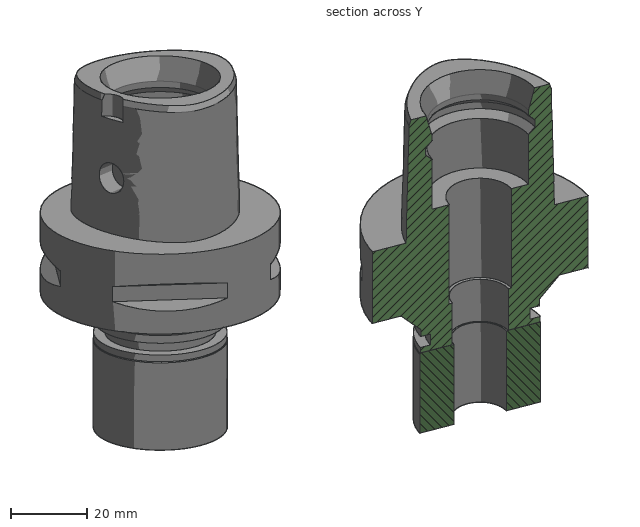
import cadquery as cq
import math

TOTAL_HEIGHT = 98.0
FLANGE_TOP = 60.2
FLANGE_BOTTOM = 37.8
NECK_RING_TOP = 32.0
NECK_RING_BOTTOM = 29.9
COLLAR_TOP = 26.7
NUT_TOP = 24.8

FLANGE_RADIUS = 31.51
NECK_RING_RADIUS = 17.3
CONE_TOP_RADIUS = NECK_RING_RADIUS + (FLANGE_BOTTOM - NECK_RING_TOP)
NECK_RADIUS = 14.6
COLLAR_RADIUS = 17.5
NUT_RADIUS = 17.6
NUT_EDGE_WIDTH = 0.1
NUT_EDGE_HEIGHT = 0.3

SHANK_BASE_DIAMETER = 44.3
SHANK_TAPER = 1 / 20
SHANK_LOBE = 1.5
SHANK_CURVE_POINTS = 48
RIM_CHAMFER_HEIGHT = 1.7
RIM_CHAMFER_WIDTH = 0.6

MOUTH_RADIUS = 15.8
BORE_RADIUS = 14.0
MOUTH_CONE_DEPTH = 6.5
UNDERCUT_TOP_DEPTH = 8.2
UNDERCUT_BOTTOM_DEPTH = 14.0
UNDERCUT_WIDTH = 1.9
BORE_DEPTH = 29.4

COUNTERBORE_RADIUS = 9.0
COUNTERBORE_BOTTOM = FLANGE_BOTTOM
PASSAGE_RADIUS = 8.1
NUT_BORE_RADIUS = 7.6

NOTCH_RADIUS = 4.4
NOTCH_INNER_Y = -17.7
NOTCH_DEPTH = 6.2
SIDE_HOLE_RADIUS = 4.165
SIDE_HOLE_Z = 75.6
SIDE_HOLE_FLOOR_Y = -14.7

GROOVE_COUNT = 4
GROOVE_Z = 48.0
GROOVE_FLOOR_HEIGHT = 4.2
GROOVE_MOUTH_HEIGHT = 7.6
GROOVE_FLOOR_DISTANCE = 27.6


def shank_section(diameter, z):
    """Three-lobed closed curve whose width is the same in every direction."""
    def point(turn):
        t = 2 * math.pi * turn
        x = diameter / 2 * math.cos(t) - SHANK_LOBE * (2 * math.cos(2 * t) - math.cos(4 * t))
        y = diameter / 2 * math.sin(t) + SHANK_LOBE * (2 * math.sin(2 * t) + math.sin(4 * t))
        return cq.Vector(y, -x, z)

    points = [point(i / SHANK_CURVE_POINTS) for i in range(SHANK_CURVE_POINTS)]
    return cq.Wire.assembleEdges([cq.Edge.makeSpline(points, periodic=True)])


def make_shank():
    chamfer_z = TOTAL_HEIGHT - RIM_CHAMFER_HEIGHT
    chamfer_diameter = SHANK_BASE_DIAMETER - SHANK_TAPER * (chamfer_z - FLANGE_TOP)
    rim_diameter = chamfer_diameter - 2 * RIM_CHAMFER_WIDTH
    base = shank_section(SHANK_BASE_DIAMETER, FLANGE_TOP)
    edge = shank_section(chamfer_diameter, chamfer_z)
    rim = shank_section(rim_diameter, TOTAL_HEIGHT)
    taper = cq.Workplane(cq.Solid.makeLoft([base, edge], True))
    chamfer = cq.Workplane(cq.Solid.makeLoft([edge, rim], True))
    return taper.union(chamfer)


def revolve_profile(points):
    """Turn a closed outline of (radius, z) points about the Z axis."""
    return cq.Workplane("XZ").polyline(points).close().revolve(360, (0, 0), (0, 1))


def make_turned_body():
    return revolve_profile([
        (0, FLANGE_TOP),
        (FLANGE_RADIUS, FLANGE_TOP),
        (FLANGE_RADIUS, FLANGE_BOTTOM),
        (CONE_TOP_RADIUS, FLANGE_BOTTOM),
        (NECK_RING_RADIUS, NECK_RING_TOP),
        (NECK_RING_RADIUS, NECK_RING_BOTTOM),
        (NECK_RADIUS, NECK_RING_BOTTOM),
        (NECK_RADIUS, COLLAR_TOP),
        (COLLAR_RADIUS, COLLAR_TOP),
        (COLLAR_RADIUS, NUT_TOP),
        (0, NUT_TOP),
    ])


def make_bore():
    """Conical mouth, undercut, plain bore and stepped passage as one cutter."""
    undercut_radius = BORE_RADIUS + UNDERCUT_WIDTH
    bore_floor = TOTAL_HEIGHT - BORE_DEPTH
    return revolve_profile([
        (0, TOTAL_HEIGHT),
        (MOUTH_RADIUS, TOTAL_HEIGHT),
        (BORE_RADIUS, TOTAL_HEIGHT - MOUTH_CONE_DEPTH),
        (BORE_RADIUS, TOTAL_HEIGHT - UNDERCUT_TOP_DEPTH),
        (undercut_radius, TOTAL_HEIGHT - UNDERCUT_TOP_DEPTH - UNDERCUT_WIDTH),
        (undercut_radius, TOTAL_HEIGHT - UNDERCUT_BOTTOM_DEPTH + UNDERCUT_WIDTH),
        (BORE_RADIUS, TOTAL_HEIGHT - UNDERCUT_BOTTOM_DEPTH),
        (BORE_RADIUS, bore_floor),
        (COUNTERBORE_RADIUS, bore_floor),
        (COUNTERBORE_RADIUS, COUNTERBORE_BOTTOM),
        (PASSAGE_RADIUS, COUNTERBORE_BOTTOM),
        (PASSAGE_RADIUS, NUT_TOP),
        (0, NUT_TOP),
    ])


def make_notch():
    notch = cq.Workplane("XY").circle(NOTCH_RADIUS).extrude(NOTCH_DEPTH)
    return notch.translate((0, NOTCH_INNER_Y - NOTCH_RADIUS, TOTAL_HEIGHT - NOTCH_DEPTH))


def make_side_hole():
    hole = cq.Workplane("XZ").circle(SIDE_HOLE_RADIUS).extrude(FLANGE_RADIUS)
    return hole.translate((0, SIDE_HOLE_FLOOR_Y, SIDE_HOLE_Z))


def make_flange_groove(angle):
    """Straight groove with a flat floor and flaring sides, facing the given angle."""
    half_floor = GROOVE_FLOOR_HEIGHT / 2
    half_mouth = GROOVE_MOUTH_HEIGHT / 2
    groove = (
        cq.Workplane("XZ")
        .polyline([
            (GROOVE_FLOOR_DISTANCE, GROOVE_Z - half_floor),
            (FLANGE_RADIUS, GROOVE_Z - half_mouth),
            (FLANGE_RADIUS, GROOVE_Z + half_mouth),
            (GROOVE_FLOOR_DISTANCE, GROOVE_Z + half_floor),
        ])
        .close()
        .extrude(FLANGE_RADIUS, both=True)
    )
    return groove.rotate((0, 0, 0), (0, 0, 1), angle)


def make_holder():
    holder = make_turned_body().union(make_shank())
    holder = holder.cut(make_bore()).cut(make_notch()).cut(make_side_hole())
    spacing = 360 / GROOVE_COUNT
    for i in range(GROOVE_COUNT):
        holder = holder.cut(make_flange_groove(spacing * (i + 0.5)))
    return holder


def make_nut():
    """Plain sleeve with a slightly relieved top edge."""
    return revolve_profile([
        (NUT_BORE_RADIUS, 0),
        (NUT_RADIUS, 0),
        (NUT_RADIUS, NUT_TOP - NUT_EDGE_HEIGHT),
        (NUT_RADIUS - NUT_EDGE_WIDTH, NUT_TOP),
        (NUT_BORE_RADIUS, NUT_TOP),
    ])


holder = make_holder()
nut = make_nut()
result = cq.Compound.makeCompound([*holder.solids().vals(), nut.val()])